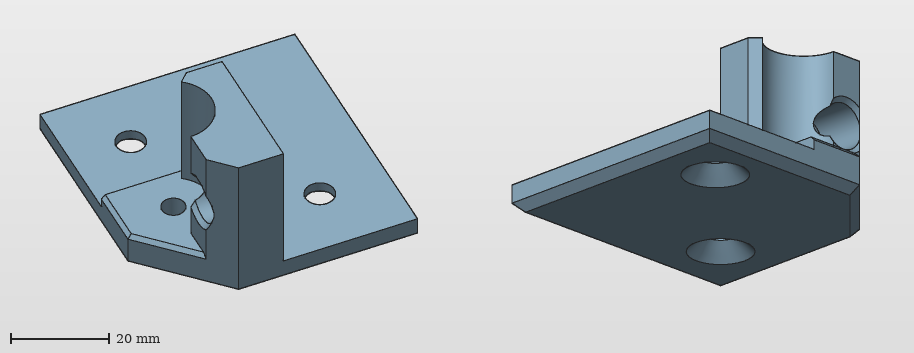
import cadquery as cq

length = 60.0
width = 57.0
plate_height = 6.0
corner_cut = 17.0
bottom_chamfer = 2.0

block_x = length / 2
block_back_y = 27.0
floor_height = 9.0
floor_chamfer = 0.9
total_height = 36.0
step_y = 12.0

seat_x = 39.0
seat_radius = 8.5
lip_edge_y = 19.0
lip_size = 2.1
floor_hole_diameter = 5.1
floor_hole_depth = 6.0

screw_x = 51.25
screw_z = 21.0
screw_diameter = 6.1
counterbore_diameter = 10.0
counterbore_depth = 12.0
mouth_chamfer = 1.0

mount_diameter = 6.4
mount_countersink_diameter = 14.0
mount_points = [(15.0, 13.45), (45.0, 42.0)]


def cut_corner_outline(left, back):
    """Rectangle to the right front corner, which is cut at 45 degrees."""
    return [
        (left, 0),
        (length - corner_cut, 0),
        (length, corner_cut),
        (length, back),
        (left, back),
    ]


def cylinder_y(diameter, start_y, end_y):
    """Cylinder on the screw axis between two Y positions."""
    return (
        cq.Workplane("XZ", origin=(screw_x, start_y, screw_z))
        .circle(diameter / 2)
        .extrude(start_y - end_y)
    )


def make_plate():
    outline = cut_corner_outline(0, width)
    plate = cq.Workplane("XY").polyline(outline).close().extrude(plate_height)
    plate = plate.faces("<Z").edges().chamfer(bottom_chamfer)
    hole_radius = mount_diameter / 2
    sink_radius = mount_countersink_diameter / 2
    sink_depth = sink_radius - hole_radius
    for x, y in mount_points:
        bottom = cq.Vector(x, y, 0)
        plate = plate.cut(cq.Workplane(cq.Solid.makeCylinder(hole_radius, plate_height, bottom)))
        plate = plate.cut(cq.Workplane(cq.Solid.makeCone(sink_radius, hole_radius, sink_depth, bottom)))
    return plate


def make_floor():
    outline = cut_corner_outline(block_x, block_back_y)
    floor = (
        cq.Workplane("XY", origin=(0, 0, plate_height))
        .polyline(outline)
        .close()
        .extrude(floor_height - plate_height)
    )
    front_edge = floor.faces(">Z").edges("<Y")
    diagonal_edge = floor.faces(">Z").edges(cq.selectors.ParallelDirSelector(cq.Vector(1, 1, 0)))
    return front_edge.add(diagonal_edge).chamfer(floor_chamfer)


def make_upright():
    outline = cut_corner_outline(block_x, block_back_y)
    upright = (
        cq.Workplane("XY", origin=(0, 0, plate_height))
        .polyline(outline)
        .close()
        .extrude(total_height - plate_height)
    )
    behind_step = (
        cq.Workplane("XY", origin=(0, step_y, 0))
        .box(length, width, total_height, centered=False)
    )
    seat = (
        cq.Workplane("XY", origin=(seat_x, step_y, floor_height))
        .circle(seat_radius)
        .extrude(total_height)
    )
    lip = (
        cq.Workplane("XY", origin=(0, 0, floor_height))
        .polyline([
            (block_x, step_y),
            (seat_x, step_y),
            (block_x + lip_size, lip_edge_y - lip_size),
            (block_x, lip_edge_y),
        ])
        .close()
        .extrude(total_height)
    )
    return upright.intersect(behind_step).cut(seat).cut(lip)


def make_screw_cutter():
    hole = cylinder_y(screw_diameter, step_y, block_back_y)
    counterbore = cylinder_y(counterbore_diameter, step_y, step_y + counterbore_depth)
    mouth_radius = counterbore_diameter / 2 + mouth_chamfer
    mouth = cq.Workplane(cq.Solid.makeCone(
        mouth_radius,
        counterbore_diameter / 2,
        mouth_chamfer,
        pnt=cq.Vector(screw_x, step_y, screw_z),
        dir=cq.Vector(0, 1, 0),
    ))
    return hole.union(counterbore).union(mouth)


floor_hole = (
    cq.Workplane("XY", origin=(seat_x, step_y, floor_height))
    .circle(floor_hole_diameter / 2)
    .extrude(-floor_hole_depth)
)
result = make_plate().union(make_floor()).union(make_upright()).cut(make_screw_cutter()).cut(floor_hole)